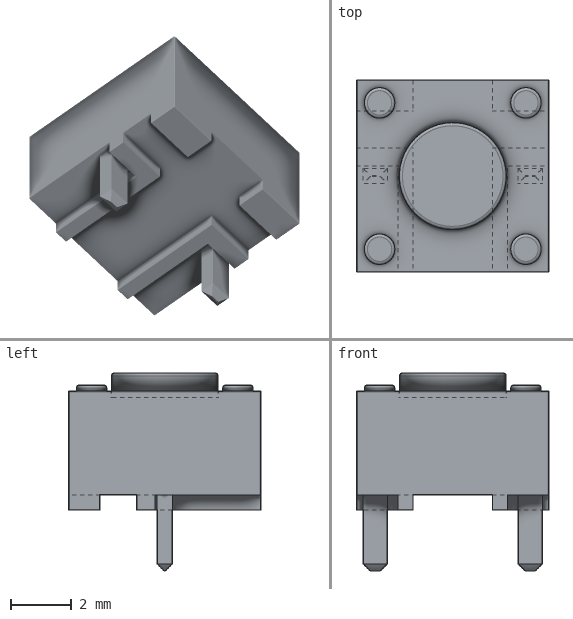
import cadquery as cq

housing_side = 6.3
housing_height = 3.4
foot_height = 0.5
housing_bottom = foot_height
housing_top = housing_bottom + housing_height
half_side = housing_side / 2
edge_radius = 0.02

button_diameter = 3.5
button_height = 0.6
button_hole_diameter = 3.52
button_hole_depth = 0.2
stud_diameter = 1.0
stud_height = 0.2
stud_pitch = 4.8
rim_radius = 0.1

foot_inner_x = 1.3
rib_width = 0.5
corner_foot_length = 1.02
cross_foot_length = 0.6
cross_foot_back_y = 0.925
cross_foot_front_y = cross_foot_back_y - cross_foot_length

pin_pitch = 5.08
pin_width = 0.8
pin_thickness = 0.5
pin_length = 2.5
tip_height = 0.24
tip_inset = 0.24


def make_envelope(height):
    """Square block standing on Z = 0."""
    return cq.Workplane("XY").rect(housing_side, housing_side).extrude(height)


def make_housing():
    """Softened block with its bottom cleared away everywhere but at the feet."""
    clearance = make_envelope(foot_height).cut(make_feet())
    return make_envelope(housing_top).edges().fillet(edge_radius).cut(clearance)


def make_rounded_disc(diameter, height, centres):
    """Discs standing on the housing top with a rounded upper rim."""
    discs = cq.Workplane("XY").workplane(offset=housing_top).pushPoints(centres)
    return discs.circle(diameter / 2).extrude(height).faces(">Z").edges().fillet(rim_radius)


def make_feet():
    """An L-shaped rib and a back corner foot on each side."""
    rib = (
        cq.Workplane("XY")
        .moveTo(foot_inner_x, -half_side)
        .lineTo(foot_inner_x + rib_width, -half_side)
        .lineTo(foot_inner_x + rib_width, cross_foot_front_y)
        .lineTo(half_side, cross_foot_front_y)
        .lineTo(half_side, cross_foot_back_y)
        .lineTo(foot_inner_x, cross_foot_back_y)
        .close()
        .extrude(foot_height)
    )
    corner_foot = cq.Workplane("XY").box(
        half_side - foot_inner_x, corner_foot_length, foot_height, centered=False
    ).translate((foot_inner_x, half_side - corner_foot_length, 0))
    right_feet = rib.union(corner_foot)
    return right_feet.union(right_feet.mirror("YZ"))


def make_button_gap():
    """Narrow ring of clearance sunk into the housing around the button."""
    gap = cq.Workplane("XY").workplane(offset=housing_top)
    gap = gap.circle(button_hole_diameter / 2).circle(button_diameter / 2)
    return gap.extrude(-button_hole_depth)


def make_pin(centre_x):
    shank_length = pin_length - tip_height
    shank = (
        cq.Workplane("XY")
        .workplane(offset=housing_bottom)
        .center(centre_x, 0)
        .rect(pin_width, pin_thickness)
        .extrude(-shank_length)
    )
    tip = (
        cq.Workplane("XY")
        .workplane(offset=housing_bottom - shank_length)
        .center(centre_x, 0)
        .rect(pin_width, pin_thickness)
        .workplane(offset=-tip_height)
        .rect(pin_width - 2 * tip_inset, pin_thickness - 2 * tip_inset)
        .loft(ruled=True)
    )
    return shank.union(tip)


stud_offset = stud_pitch / 2
stud_centres = [(x, y) for x in (-stud_offset, stud_offset) for y in (-stud_offset, stud_offset)]

result = make_housing().cut(make_button_gap())
result = result.union(make_rounded_disc(button_diameter, button_height, [(0, 0)]))
result = result.union(make_rounded_disc(stud_diameter, stud_height, stud_centres))
for side in (-1, 1):
    result = result.union(make_pin(side * pin_pitch / 2))